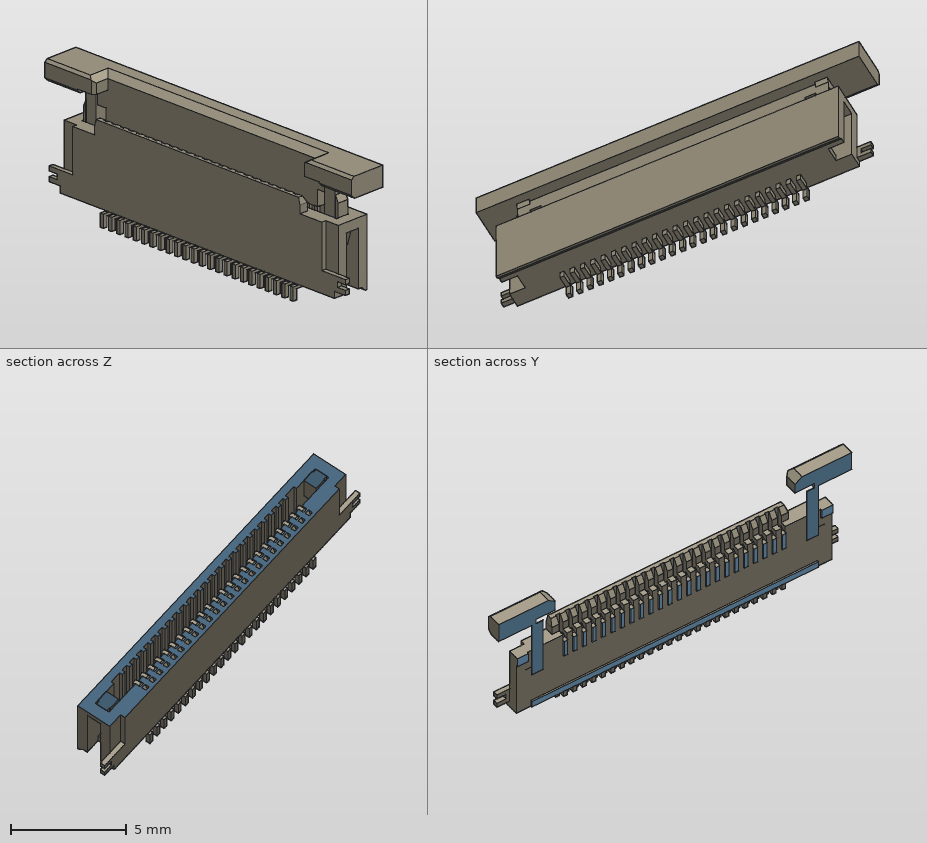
import cadquery as cq


HOUSING_HALF = 8.31
HOUSING_FRONT = 0.04
HOUSING_BACK = 2.05
HOUSING_BOTTOM = 0.85
HOUSING_TOP = 4.2
CORNER_HALF = 7.55
CORNER_DEPTH = 0.25

RIDGE_BOTTOM = 0.67
RIDGE_BASE_FRONT = 1.73
RIDGE_TIP_FRONT = 1.93

LIP_TOP = 4.95
LIP_SHOULDER = 4.61
LIP_TOP_HALF = 6.14
LIP_HALF = 6.23
LIP_BACK = 0.48
LIP_TOP_BACK = 0.28

CAVITY_FRONT = 0.78
CAVITY_BACK = 1.5
CAVITY_FLOOR = 1.2
BRIDGE_BOTTOM = 3.7
RECESS_BACK = 1.65
FLOOR_HALF = CORNER_HALF

TAB_HALF = 8.98
TAB_NOTCH_HALF = 8.5
TAB_TOP = 1.93
TAB_BOTTOM = 1.19
TAB_NOTCH = 0.26

CONTACT_COUNT = 24
CONTACT_ROW_LENGTH = 11.5
CONTACT_PITCH = CONTACT_ROW_LENGTH / (CONTACT_COUNT - 1)
CONTACT_WIDTH = 0.2
CONTACT_BACK = 0.82
CONTACT_NECK_FRONT = 0.28
FOOT_THICKNESS = 0.22
FOOT_TOP = 0.67
FOOT_STEP = 0.52
GROOVE_FRONT = 0.22
GROOVE_FLOOR = 1.49
HOOK_BASE_Z = 3.53
HOOK_TIP_Y = 0.45
HOOK_TIP_Z = 4.0
HOOK_HEEL_Y = 0.63
HOOK_HEEL_Z = 3.87
NOSE_BOTTOM = 2.98
NOSE_BACK = 0.93
BACK_BEAM_TOP = 4.0

HEAD_HALF = 9.3
HEAD_FRONT = 0.1
HEAD_BACK = 2.0
HEAD_BOTTOM = 5.77
HEAD_TOP = 6.8
TOP_CHAMFER_Y = 0.15
TOP_CHAMFER_Z = 0.13
BOTTOM_CHAMFER = 0.19

MOUTH_HALF = 6.3
MOUTH_TOP_HALF = 6.68
MOUTH_CORNER = 0.15
MOUTH_TOP_BACK = 1.34
MOUTH_SLOPE_BOTTOM = 6.55
RELIEF_HALF = 7.33
RELIEF_TOP = 6.0

TONGUE_FRONT = 0.93
TONGUE_HALF = 6.42
TONGUE_SHOULDER = 5.13
TONGUE_BOTTOM = 4.32

POST_OUTER = 7.55
POST_INNER = 6.94
POST_FRONT = 0.84
POST_BOTTOM = 2.79
POST_FLARE_Y = 0.11
POST_FLARE_Z = 0.2

RIB_OUTER = 7.72
RIB_FRONT = 0.87
RIB_BACK = 1.47
RIB_TOP = 5.23
RIB_SHOULDER = 4.9

CATCH_OUTER = 8.0
CATCH_BACK = RIB_BACK
CATCH_TOP_BACK = 1.38
CATCH_BOTTOM = 2.86
CATCH_NOSE_BACK = 1.23
CATCH_NOSE_Z = 3.27


def box(x0, x1, y0, y1, z0, z1):
    """Axis-aligned box between two opposite corners."""
    return cq.Workplane("XY").box(x1 - x0, y1 - y0, z1 - z0, centered=False).translate((x0, y0, z0))


def wide_box(half, y0, y1, z0, z1):
    """Box centred on X = 0."""
    return box(-half, half, y0, y1, z0, z1)


def bar(points, x0, x1):
    """Prism along X from x0 to x1 with the given (Y, Z) outline."""
    return cq.Workplane("YZ", origin=(x0, 0, 0)).polyline(points).close().extrude(x1 - x0)


def plate(points, y0, y1):
    """Prism along Y from y0 to y1 with the given (X, Z) outline."""
    return cq.Workplane("XZ", origin=(0, y0, 0)).polyline(points).close().extrude(y0 - y1)


def both_ends(shape):
    """The given left-hand shape together with its mirror image in X."""
    return shape.union(shape.mirror("YZ"))



def housing_block():
    block = bar(
        [
            (HOUSING_FRONT, HOUSING_BOTTOM),
            (RIDGE_BASE_FRONT, HOUSING_BOTTOM),
            (RIDGE_TIP_FRONT, RIDGE_BOTTOM),
            (HOUSING_BACK, RIDGE_BOTTOM),
            (HOUSING_BACK, HOUSING_TOP),
            (HOUSING_FRONT, HOUSING_TOP),
        ],
        -HOUSING_HALF,
        HOUSING_HALF,
    )
    corner = box(
        -HOUSING_HALF, -CORNER_HALF, HOUSING_FRONT, HOUSING_FRONT + CORNER_DEPTH, TAB_TOP, HOUSING_TOP
    )
    return block.cut(both_ends(corner))


def cable_lip():
    side_profile = bar(
        [
            (HOUSING_FRONT, HOUSING_TOP),
            (LIP_BACK, HOUSING_TOP),
            (LIP_BACK, LIP_SHOULDER),
            (LIP_TOP_BACK, LIP_TOP),
            (HOUSING_FRONT, LIP_TOP),
        ],
        -LIP_HALF,
        LIP_HALF,
    )
    front_outline = plate(
        [
            (-LIP_HALF, HOUSING_TOP),
            (LIP_HALF, HOUSING_TOP),
            (LIP_HALF, LIP_SHOULDER),
            (LIP_TOP_HALF, LIP_TOP),
            (-LIP_TOP_HALF, LIP_TOP),
            (-LIP_HALF, LIP_SHOULDER),
        ],
        HOUSING_FRONT,
        LIP_BACK,
    )
    return side_profile.intersect(front_outline)


def slider_cavity():
    through = wide_box(HOUSING_HALF, CAVITY_FRONT, CAVITY_BACK, CAVITY_FLOOR, BRIDGE_BOTTOM)
    mouth = wide_box(RIB_OUTER, CAVITY_FRONT, CAVITY_BACK, BRIDGE_BOTTOM, HOUSING_TOP)
    end_slot = box(-HOUSING_HALF, -FLOOR_HALF, CAVITY_FRONT, CAVITY_BACK, HOUSING_BOTTOM, CAVITY_FLOOR)
    recess = wide_box(TONGUE_HALF, CAVITY_BACK, RECESS_BACK, CAVITY_FLOOR, HOUSING_TOP)
    return through.union(mouth).union(recess).union(both_ends(end_slot))


def solder_tabs():
    """Forked tabs at both ends, as thick as the corner step is deep."""
    back = HOUSING_FRONT + CORNER_DEPTH
    middle = (TAB_BOTTOM + TAB_TOP) / 2
    tab = box(-TAB_HALF, -HOUSING_HALF, HOUSING_FRONT, back, TAB_BOTTOM, TAB_TOP)
    notch = box(
        -TAB_HALF, -TAB_NOTCH_HALF, HOUSING_FRONT, back, middle - TAB_NOTCH / 2, middle + TAB_NOTCH / 2
    )
    return both_ends(tab.cut(notch))


def contact_groove(x):
    """Slot through the front wall behind the lip, open at the top."""
    left = x - CONTACT_WIDTH / 2
    return box(left, left + CONTACT_WIDTH, GROOVE_FRONT, CAVITY_FRONT, GROOVE_FLOOR, LIP_TOP)


def contact_arm(x):
    """Arm standing in the groove, with a hooked top and a nose that reaches into the cavity."""
    left = x - CONTACT_WIDTH / 2
    outline = [
        (GROOVE_FRONT, GROOVE_FLOOR),
        (CAVITY_FRONT, GROOVE_FLOOR),
        (CAVITY_FRONT, NOSE_BOTTOM),
        (NOSE_BACK, NOSE_BOTTOM),
        (NOSE_BACK, HOOK_HEEL_Z),
        (HOOK_HEEL_Y, HOOK_HEEL_Z),
        (HOOK_TIP_Y, HOOK_TIP_Z),
        (GROOVE_FRONT, HOOK_BASE_Z),
    ]
    return bar(outline, left, left + CONTACT_WIDTH)


def contact_back_beam(x):
    """Upright beam that fills the depth of the recess in the back wall."""
    left = x - CONTACT_WIDTH / 2
    return box(left, left + CONTACT_WIDTH, CAVITY_BACK, RECESS_BACK, CAVITY_FLOOR, BACK_BEAM_TOP)


def contact_foot(x):
    """Solder foot that steps forward and down below the housing."""
    left = x - CONTACT_WIDTH / 2
    outline = [
        (CONTACT_BACK, HOUSING_BOTTOM),
        (CONTACT_BACK, FOOT_STEP),
        (FOOT_THICKNESS, FOOT_STEP),
        (FOOT_THICKNESS, 0),
        (0, 0),
        (0, FOOT_TOP),
        (CONTACT_NECK_FRONT, FOOT_TOP),
        (CONTACT_NECK_FRONT, HOUSING_BOTTOM),
    ]
    return bar(outline, left, left + CONTACT_WIDTH)


def gather(shapes):
    """Several separate shapes held together as one cutting or joining tool."""
    return cq.Workplane(cq.Compound.makeCompound([shape.val() for shape in shapes]))


def make_housing():
    body = housing_block().union(cable_lip()).cut(slider_cavity()).union(solder_tabs())
    first_x = -CONTACT_ROW_LENGTH / 2
    contact_places = [first_x + index * CONTACT_PITCH for index in range(CONTACT_COUNT)]
    body = body.cut(gather([contact_groove(x) for x in contact_places]))
    for make_portion in (contact_arm, contact_back_beam, contact_foot):
        body = body.union(gather([make_portion(x) for x in contact_places]))
    return body



def slider_head():
    return bar(
        [
            (HEAD_BACK, HEAD_BOTTOM),
            (HEAD_BACK, HEAD_TOP),
            (HEAD_FRONT + TOP_CHAMFER_Y, HEAD_TOP),
            (HEAD_FRONT, HEAD_TOP - TOP_CHAMFER_Z),
            (HEAD_FRONT, HEAD_BOTTOM + BOTTOM_CHAMFER),
            (HEAD_FRONT + BOTTOM_CHAMFER, HEAD_BOTTOM),
        ],
        -HEAD_HALF,
        HEAD_HALF,
    )


def cable_mouth():
    """Opening in the head's front: upright walls with a sloped rim at the top."""
    walls = (
        cq.Workplane("XY", origin=(0, 0, HEAD_BOTTOM))
        .polyline(
            [
                (-MOUTH_HALF - MOUTH_CORNER, HEAD_FRONT),
                (-MOUTH_HALF, HEAD_FRONT + MOUTH_CORNER),
                (-MOUTH_HALF, TONGUE_FRONT),
                (MOUTH_HALF, TONGUE_FRONT),
                (MOUTH_HALF, HEAD_FRONT + MOUTH_CORNER),
                (MOUTH_HALF + MOUTH_CORNER, HEAD_FRONT),
            ]
        )
        .close()
        .extrude(HEAD_TOP - HEAD_BOTTOM)
    )
    side_slopes = plate(
        [
            (-MOUTH_HALF, MOUTH_SLOPE_BOTTOM),
            (MOUTH_HALF, MOUTH_SLOPE_BOTTOM),
            (MOUTH_TOP_HALF, HEAD_TOP),
            (-MOUTH_TOP_HALF, HEAD_TOP),
        ],
        HEAD_FRONT,
        MOUTH_TOP_BACK,
    )
    back_slope = bar(
        [
            (HEAD_FRONT, MOUTH_SLOPE_BOTTOM),
            (TONGUE_FRONT, MOUTH_SLOPE_BOTTOM),
            (MOUTH_TOP_BACK, HEAD_TOP),
            (HEAD_FRONT, HEAD_TOP),
        ],
        -MOUTH_TOP_HALF,
        MOUTH_TOP_HALF,
    )
    relief = wide_box(RELIEF_HALF, HEAD_FRONT, TONGUE_FRONT, HEAD_BOTTOM, RELIEF_TOP)
    return walls.union(side_slopes.intersect(back_slope)).union(relief)


def tongue():
    upper = wide_box(POST_INNER, TONGUE_FRONT, CAVITY_BACK, TONGUE_SHOULDER, HEAD_BOTTOM)
    lower = wide_box(TONGUE_HALF, TONGUE_FRONT, CAVITY_BACK, TONGUE_BOTTOM, TONGUE_SHOULDER)
    return upper.union(lower)


def left_post():
    post = bar(
        [
            (POST_FRONT, POST_BOTTOM),
            (CAVITY_BACK, POST_BOTTOM),
            (CAVITY_BACK, HEAD_BOTTOM - POST_FLARE_Z),
            (CAVITY_BACK + POST_FLARE_Y, HEAD_BOTTOM),
            (POST_FRONT, HEAD_BOTTOM),
        ],
        -POST_OUTER,
        -POST_INNER,
    )
    rib = plate(
        [
            (-POST_OUTER, POST_BOTTOM),
            (-POST_OUTER, RIB_TOP),
            (-RIB_OUTER, RIB_SHOULDER),
            (-RIB_OUTER, POST_BOTTOM),
        ],
        RIB_FRONT,
        RIB_BACK,
    )
    return post.union(rib)


def left_catch():
    """Pointed catch below the housing's bridge, bevelled on its underside."""
    nose = bar(
        [
            (CATCH_BACK, CATCH_BOTTOM),
            (CATCH_BACK, CATCH_NOSE_Z),
            (CATCH_TOP_BACK, BRIDGE_BOTTOM),
            (CATCH_NOSE_BACK, BRIDGE_BOTTOM),
            (POST_FRONT, CATCH_NOSE_Z),
            (CATCH_NOSE_BACK, CATCH_BOTTOM),
        ],
        -CATCH_OUTER,
        -POST_OUTER,
    )
    bevel = plate(
        [
            (-POST_OUTER, BRIDGE_BOTTOM),
            (-CATCH_OUTER, BRIDGE_BOTTOM),
            (-RIB_OUTER, CATCH_BOTTOM),
            (-POST_OUTER, CATCH_BOTTOM),
        ],
        POST_FRONT,
        CATCH_BACK,
    )
    return nose.intersect(bevel)


def make_slider():
    head = slider_head().cut(cable_mouth())
    return head.union(tongue()).union(both_ends(left_post().union(left_catch())))


housing = make_housing()
slider = make_slider()

result = cq.Compound.makeCompound([housing.solids().val(), slider.solids().val()])